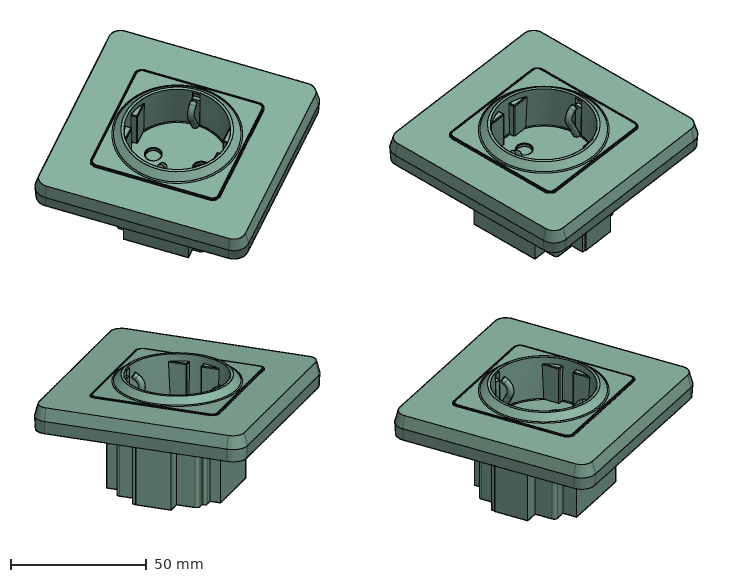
import cadquery as cq
import math


FRAME_WIDTH = 84.0
FRAME_HEIGHT = 10.0
FRAME_CORNER_RADIUS = 5.9
RIDGE_HEIGHT = 5.0
FRAME_TOP_INSET = 1.35
FRAME_BACK_INSET = 0.3

INSERT_WIDTH = 49.9
INSERT_CORNER_RADIUS = 2.35
INSERT_RISE = 0.3
INSERT_CHAMFER = 0.25
GAP_WIDTH = 0.5
GAP_DEPTH = 0.8
INSERT_TOP = FRAME_HEIGHT + INSERT_RISE

COLLAR_FOOT_RADIUS = 24.1
COLLAR_BASE_RADIUS = 23.5
COLLAR_RIM_RADIUS = 20.75
COLLAR_FOOT_RISE = 0.25
COLLAR_TOP = 13.0

WELL_RIM_RADIUS = 19.65
WELL_FOOT_RADIUS = 19.2
WELL_FLOOR_CHAMFER = 0.3
WELL_DEPTH = 17.7
WELL_FLOOR = COLLAR_TOP - WELL_DEPTH

RIB_FACE_X = 16.8
RIB_GAP_WIDTH = 5.55
RIB_TOP = 10.25
RIB_CHAMFER = 0.3

PIN_SPACING = 18.9
PIN_RADIUS = 3.0
PIN_DEPTH = 1.4
PIN_CHAMFER = 0.25

CONTACT_WIDTH = 2.5
CONTACT_BEND_RADIUS = 4.0
CONTACT_FOOT_Y = 19.15
CONTACT_KNEE_Y = 12.85
CONTACT_KNEE_Z = 7.5
CONTACT_TIP_Y = 17.3
CONTACT_TIP_Z = 10.2
SLOT_WIDTH = 3.0
SLOT_LOWER_Y = 19.6
SLOT_UPPER_Y = 21.0
SLOT_LEDGE_Z = 8.7
SLOT_TOP = 12.0

BOX_DEPTH = 30.0
BODY_HALF_X = 20.4
BODY_HALF_Y = 16.4
BODY_CORNER_RADIUS = 1.4
SIDE_BLOCK_HALF_X = 25.95
SIDE_BLOCK_HALF_Y = 7.7
SIDE_STEP_X = 0.3
SIDE_STEP_Y = 1.4
END_BLOCK_HALF_Y = 22.2
FRONT_BLOCK_HALF_X = 12.85
REAR_BLOCK_HALF_X = 14.9
SHOULDER_HALF_X = 17.0
SHOULDER_HALF_Y = 18.0
SHOULDER_CORNER_RADIUS = 1.0


def rounded_square(width, corner_radius, start, height, taper=0):
    """Square block with rounded corners; a taper narrows it away from the starting level."""
    sketch = cq.Sketch().rect(width, width).vertices().fillet(corner_radius)
    return cq.Workplane("XY", origin=(0, 0, start)).placeSketch(sketch).extrude(height, taper=taper)


def block(x_range, y_range, z_range):
    """Box given by its limits along each axis."""
    limits = (x_range, y_range, z_range)
    size = [high - low for low, high in limits]
    corner = cq.Vector(*[low for low, high in limits])
    return cq.Workplane(cq.Solid.makeBox(*size, pnt=corner))


def make_frame():
    upper_height = FRAME_HEIGHT - RIDGE_HEIGHT
    upper_taper = math.degrees(math.atan2(FRAME_TOP_INSET, upper_height))
    lower_taper = math.degrees(math.atan2(FRAME_BACK_INSET, RIDGE_HEIGHT))
    upper = rounded_square(FRAME_WIDTH, FRAME_CORNER_RADIUS, RIDGE_HEIGHT, upper_height, upper_taper)
    lower = rounded_square(FRAME_WIDTH, FRAME_CORNER_RADIUS, RIDGE_HEIGHT, -RIDGE_HEIGHT, lower_taper)
    return upper.union(lower)


def add_insert(frame):
    gap_bottom = FRAME_HEIGHT - GAP_DEPTH
    gap = rounded_square(
        INSERT_WIDTH + 2 * GAP_WIDTH, INSERT_CORNER_RADIUS + GAP_WIDTH, gap_bottom, GAP_DEPTH
    )
    insert = rounded_square(INSERT_WIDTH, INSERT_CORNER_RADIUS, gap_bottom, GAP_DEPTH + INSERT_RISE)
    insert = insert.faces(">Z").chamfer(INSERT_CHAMFER)
    return frame.cut(gap).union(insert)


def make_collar():
    profile = [
        (0, INSERT_TOP),
        (COLLAR_FOOT_RADIUS, INSERT_TOP),
        (COLLAR_BASE_RADIUS, INSERT_TOP + COLLAR_FOOT_RISE),
        (COLLAR_RIM_RADIUS, COLLAR_TOP),
        (0, COLLAR_TOP),
    ]
    return cq.Workplane("XZ").polyline(profile).close().revolve(360, (0, 0), (0, 1))


def make_box():
    z_range = (-BOX_DEPTH, 0)
    body = block((-BODY_HALF_X, BODY_HALF_X), (-BODY_HALF_Y, BODY_HALF_Y), z_range)
    body = body.edges("|Z").fillet(BODY_CORNER_RADIUS)
    shoulder = block((-SHOULDER_HALF_X, SHOULDER_HALF_X), (-SHOULDER_HALF_Y, 0), z_range)
    shoulder = shoulder.edges("|Z and <Y").fillet(SHOULDER_CORNER_RADIUS)
    front = block((-FRONT_BLOCK_HALF_X, FRONT_BLOCK_HALF_X), (-END_BLOCK_HALF_Y, 0), z_range)
    rear = block((-REAR_BLOCK_HALF_X, REAR_BLOCK_HALF_X), (0, END_BLOCK_HALF_Y), z_range)
    box = body.union(shoulder).union(front).union(rear)

    step_start = SIDE_BLOCK_HALF_Y - SIDE_STEP_Y
    stepped_x = SIDE_BLOCK_HALF_X - SIDE_STEP_X
    side = block((-SIDE_BLOCK_HALF_X, 0), (-SIDE_BLOCK_HALF_Y, step_start), z_range)
    side = side.union(block((-stepped_x, 0), (-SIDE_BLOCK_HALF_Y, SIDE_BLOCK_HALF_Y), z_range))
    for angle in (0, 180):
        box = box.union(side.rotate((0, 0, 0), (0, 0, 1), angle))
    return box


def make_ribs():
    """Four upright bars, in two pairs with a gap in each, chamfered on their free edges."""
    rib = block(
        (RIB_FACE_X, COLLAR_RIM_RADIUS), (RIB_GAP_WIDTH / 2, COLLAR_RIM_RADIUS), (WELL_FLOOR, RIB_TOP)
    )
    free_edges = rib.edges("|Z and <X and <Y").add(rib.edges(">Z and <X")).add(rib.edges(">Z and <Y"))
    rib = free_edges.chamfer(RIB_CHAMFER)
    pair = rib.union(rib.mirror("YZ"))
    return pair.union(pair.mirror("XZ"))


def make_pin_holes():
    centres = cq.Workplane("XY", origin=(0, 0, WELL_FLOOR)).rarray(PIN_SPACING, 0.8, 2, 1)
    holes = centres.circle(PIN_RADIUS).extrude(-PIN_DEPTH)
    mouths = centres.eachpoint(
        cq.Solid.makeCone(PIN_RADIUS + PIN_CHAMFER, PIN_RADIUS, PIN_CHAMFER, dir=cq.Vector(0, 0, -1)),
        useLocalCoordinates=True,
    )
    return holes.union(mouths)


def make_contact_slots():
    x_range = (-SLOT_WIDTH / 2, SLOT_WIDTH / 2)
    lower = block(x_range, (-SLOT_LOWER_Y, SLOT_LOWER_Y), (WELL_FLOOR, SLOT_LEDGE_Z))
    upper = block(x_range, (-SLOT_UPPER_Y, SLOT_UPPER_Y), (SLOT_LEDGE_Z, SLOT_TOP))
    return lower.union(upper)


def make_well():
    """Space of the plug well: tapered, without the ribs, with the contact slots and pin holes."""
    profile = [
        (0, WELL_FLOOR),
        (WELL_FOOT_RADIUS - WELL_FLOOR_CHAMFER, WELL_FLOOR),
        (WELL_FOOT_RADIUS, WELL_FLOOR + WELL_FLOOR_CHAMFER),
        (WELL_RIM_RADIUS, COLLAR_TOP),
        (0, COLLAR_TOP),
    ]
    well = cq.Workplane("XZ").polyline(profile).close().revolve(360, (0, 0), (0, 1))
    return well.cut(make_ribs()).union(make_contact_slots()).union(make_pin_holes())


def make_contact():
    """Round wire rising from below the well floor, bent at the knee and ending short of the wall."""
    corners = [
        (CONTACT_FOOT_Y, WELL_FLOOR - CONTACT_WIDTH / 2),
        (CONTACT_KNEE_Y, CONTACT_KNEE_Z),
        (CONTACT_TIP_Y, CONTACT_TIP_Z),
    ]
    legs = cq.Wire.makePolygon([cq.Vector(0, y, z) for y, z in corners])
    knee = min(legs.Vertices(), key=lambda vertex: vertex.Y)
    path = legs.fillet2D(CONTACT_BEND_RADIUS, [knee])
    start = cq.Plane(origin=path.startPoint(), normal=path.tangentAt(0))
    return cq.Workplane(start).circle(CONTACT_WIDTH / 2).sweep(cq.Workplane(path))


contact = make_contact()
result = add_insert(make_frame()).union(make_collar()).union(make_box()).cut(make_well())
result = result.union(contact).union(contact.mirror("XZ"))